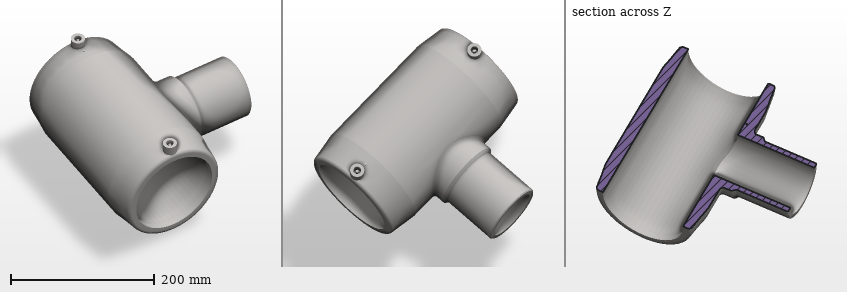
import cadquery as cq

run_length = 265.0
run_diameter = 162.0
run_bore = 125.0
run_radius = run_diameter / 2
half_length = run_length / 2
taper_length = 43.5
end_diameter = 148.5
end_fillet = 5.3

overall_depth = 264.0
branch_reach = overall_depth - run_radius
spigot_diameter = 90.0
collar_diameter = 100.0
branch_bore = 73.7
collar_reach = 101.8
collar_chamfer = (collar_diameter - spigot_diameter) / 2
spigot_chamfer = 1.5
root_fillet = 5.3

terminal_inset = 11.5
terminal_diameter = 20.0
overall_height = 169.5
terminal_top = overall_height - run_radius
socket_diameter = 10.5
socket_depth = 13.2
contact_diameter = 4.0
contact_height = 10.0
indicator_inset = 29.0
indicator_diameter = 4.0
indicator_top = 79.2

pin_base = (run_bore + end_diameter) / 4


def rod_y(diameter, reach):
    """Cylinder from the run axis along +Y."""
    return cq.Workplane("XZ").circle(diameter / 2).extrude(-reach)


def rod_z(diameter, x, bottom, top):
    """Upright cylinder above the run axis."""
    return cq.Workplane("XY", origin=(x, 0, bottom)).circle(diameter / 2).extrude(top - bottom)


def make_run():
    shoulder = half_length - taper_length
    barrel = (
        cq.Workplane("XY")
        .moveTo(-half_length, 0)
        .lineTo(-half_length, end_diameter / 2)
        .lineTo(-shoulder, run_radius)
        .lineTo(shoulder, run_radius)
        .lineTo(half_length, end_diameter / 2)
        .lineTo(half_length, 0)
        .close()
        .revolve(360, (0, 0, 0), (1, 0, 0))
    )
    return barrel.faces("<X or >X").edges().fillet(end_fillet)


def add_branch(body):
    collar = rod_y(collar_diameter, collar_reach).faces(">Y").chamfer(collar_chamfer)
    body = body.union(collar)
    root = body.edges(cq.selectors.BoxSelector(
        (-collar_diameter, run_radius / 2, -collar_diameter),
        (collar_diameter, run_radius + root_fillet, collar_diameter),
        boundingbox=True,
    ))
    body = root.fillet(root_fillet)
    spigot = rod_y(spigot_diameter, branch_reach).faces(">Y").chamfer(spigot_chamfer)
    return body.union(spigot)


def add_terminal(body, side):
    x = side * (half_length - terminal_inset)
    socket_floor = terminal_top - socket_depth
    indicator_x = side * (half_length - indicator_inset)
    body = body.union(rod_z(terminal_diameter, x, pin_base, terminal_top))
    body = body.cut(rod_z(socket_diameter, x, socket_floor, terminal_top))
    body = body.union(rod_z(contact_diameter, x, pin_base, socket_floor + contact_height))
    return body.union(rod_z(indicator_diameter, indicator_x, pin_base, indicator_top))


result = add_branch(make_run())
for end_side in (-1, 1):
    result = add_terminal(result, end_side)

run_bore_core = cq.Workplane("YZ").circle(run_bore / 2).extrude(half_length, both=True)
result = result.cut(run_bore_core)
result = result.cut(rod_y(branch_bore, branch_reach))